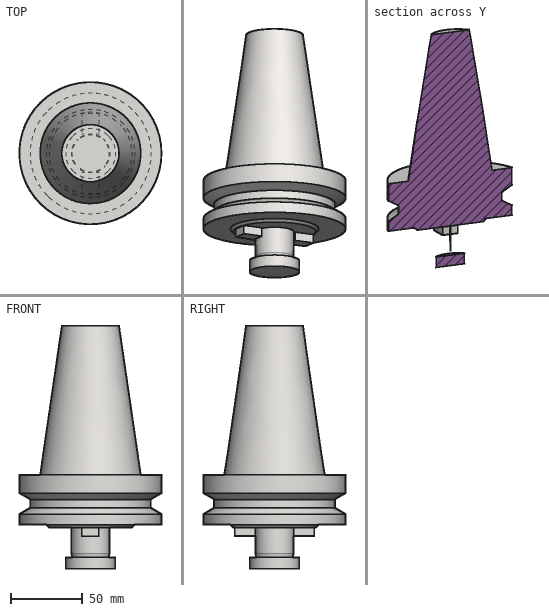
import cadquery as cq
import math

gauge_diameter = 69.85
taper_ratio = 7 / 24
taper_length = 101.8
gauge_gap = 3.0

flange_diameter = 100.0
flange_thickness = 35.0
groove_diameter = 85.0
groove_centre_depth = 20.15
groove_mouth_width = 14.7
groove_flank_angle = 30.0
groove_chamfer = 0.5

collar_diameter = 62.0
collar_height = 2.0
collar_taper_angle = 45.0

pilot_diameter = 27.0
pilot_length = 18.0
neck_diameter = 26.0
neck_length = 3.0
head_diameter = 35.0
head_height = 8.0

key_width = 12.0
key_height = 6.0
key_span = 56.0

flange_top = -gauge_gap
flange_bottom = flange_top - flange_thickness
collar_bottom = flange_bottom - collar_height
pilot_bottom = collar_bottom - pilot_length
neck_bottom = pilot_bottom - neck_length
head_bottom = neck_bottom - head_height


def disc(diameter, bottom, top):
    """Round body about the Z axis between two levels."""
    return cq.Workplane("XY").workplane(offset=bottom).circle(diameter / 2).extrude(top - bottom)


def make_shank():
    """Taper from its small end down to the flange, past the gauge plane."""
    gauge_radius = gauge_diameter / 2
    small_end_radius = gauge_radius - taper_length * taper_ratio / 2
    base_radius = gauge_radius + gauge_gap * taper_ratio / 2
    return (
        cq.Workplane("XZ")
        .moveTo(0, flange_top)
        .lineTo(base_radius, flange_top)
        .lineTo(small_end_radius, taper_length)
        .lineTo(0, taper_length)
        .close()
        .revolve(360, (0, 0), (0, 1))
    )


def make_groove():
    """Ring removed from the flange rim: sloped flanks meeting the floor in small 45 degree chamfers."""
    floor_radius = groove_diameter / 2
    flank_end_radius = floor_radius + groove_chamfer
    rim_radius = flange_diameter / 2
    centre = flange_top - groove_centre_depth
    flank_rise = (rim_radius - flank_end_radius) * math.tan(math.radians(groove_flank_angle))
    half_mouth = groove_mouth_width / 2
    half_flank_end = half_mouth - flank_rise
    half_floor = half_flank_end - groove_chamfer
    return (
        cq.Workplane("XZ")
        .moveTo(floor_radius, centre - half_floor)
        .lineTo(flank_end_radius, centre - half_flank_end)
        .lineTo(rim_radius, centre - half_mouth)
        .lineTo(rim_radius, centre + half_mouth)
        .lineTo(flank_end_radius, centre + half_flank_end)
        .lineTo(floor_radius, centre + half_floor)
        .close()
        .revolve(360, (0, 0), (0, 1))
    )


def make_flange():
    """Grooved flange with the tapered collar beneath it."""
    flange = disc(flange_diameter, flange_bottom, flange_top).cut(make_groove())
    collar = (
        cq.Workplane("XY")
        .workplane(offset=flange_bottom)
        .circle(collar_diameter / 2)
        .extrude(-collar_height, taper=collar_taper_angle)
    )
    return flange.union(collar)


def make_pilot():
    """Pilot, tapered neck and screw head, stacked downward from the collar."""
    pilot = disc(pilot_diameter, pilot_bottom, collar_bottom)
    neck = (
        cq.Workplane("XY")
        .workplane(offset=pilot_bottom)
        .circle(pilot_diameter / 2)
        .workplane(offset=-neck_length)
        .circle(neck_diameter / 2)
        .loft(ruled=True)
    )
    head = disc(head_diameter, head_bottom, neck_bottom)
    return pilot.union(neck).union(head)


def make_keys():
    """Two blocks on the collar face, each reaching outward from the side of the pilot."""
    key_length = (key_span - pilot_diameter) / 2
    key_centre = (key_span + pilot_diameter) / 4
    return (
        cq.Workplane("XY")
        .workplane(offset=collar_bottom)
        .pushPoints([(0, -key_centre), (0, key_centre)])
        .rect(key_width, key_length)
        .extrude(-key_height)
    )


result = make_shank().union(make_flange()).union(make_pilot()).union(make_keys())